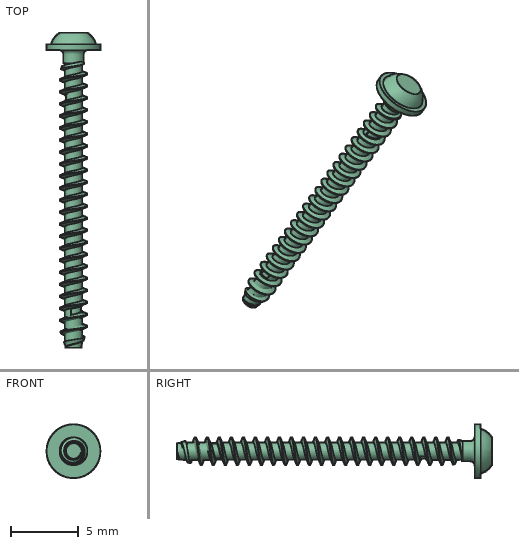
import cadquery as cq
import math


flange_diameter = 4.0
flange_thickness = 0.45
head_height = 1.3
dome_base_diameter = 3.35
dome_top_diameter = 2.05
dome_bulge = 0.1

shank_diameter = 1.52
shank_length = 0.95
neck_fillet_radius = 0.3

screw_length = 22.0
core_diameter = 1.3
tip_diameter = 1.2
tip_taper_length = 0.5

thread_diameter = 2.06
thread_pitch = 0.889
thread_root_width = 0.36
thread_crest_width = 0.06
thread_phase_depth = 1.75
thread_embed = 0.1
crest_radius = thread_diameter / 2

run_in_start = 0.8
run_in_end = 2.0
run_in_radius = shank_diameter / 2 - 0.02
run_out_start = 20.35
run_out_end = 21.95
run_out_radius = tip_diameter / 2 - 0.02
envelope_clearance = 0.1

relief_depth = 0.09
relief_width = 0.44
relief_turns = 0.5
head_relief_crest_turn = 1.4
tip_relief_crest_turn = 18.8


def make_head_and_body():
    """Revolve the head, the neck fillet, the shank and the core in one profile."""
    flange_radius = flange_diameter / 2
    base_radius = dome_base_diameter / 2
    top_radius = dome_top_diameter / 2
    shank_radius = shank_diameter / 2
    core_radius = core_diameter / 2

    rise = head_height - flange_thickness
    run = base_radius - top_radius
    chord = math.hypot(rise, run)
    arc_middle = (
        (base_radius + top_radius) / 2 + dome_bulge * rise / chord,
        (flange_thickness + head_height) / 2 + dome_bulge * run / chord,
    )

    fillet_outer = shank_radius + neck_fillet_radius
    fillet_inset = neck_fillet_radius * (1 - math.sqrt(0.5))

    profile = (
        cq.Workplane("XY")
        .moveTo(0, head_height)
        .lineTo(top_radius, head_height)
        .threePointArc(arc_middle, (base_radius, flange_thickness))
        .lineTo(flange_radius, flange_thickness)
        .lineTo(flange_radius, 0)
        .lineTo(fillet_outer, 0)
        .threePointArc(
            (shank_radius + fillet_inset, -fillet_inset),
            (shank_radius, -neck_fillet_radius),
        )
        .lineTo(shank_radius, -shank_length)
        .lineTo(core_radius, -shank_length)
        .lineTo(core_radius, tip_taper_length - screw_length)
        .lineTo(tip_diameter / 2, -screw_length)
        .lineTo(0, -screw_length)
        .close()
    )
    return profile.revolve(360, (0, 0, 0), (0, 1, 0))


def make_ridge(first_turn, last_turn):
    """Sweep the ridge, right-handed along -Y, between two whole turns past the phase depth."""
    flank_slope = (thread_root_width - thread_crest_width) / (thread_diameter - core_diameter)
    root_radius = core_diameter / 2 - thread_embed
    half_crest = thread_crest_width / 2
    half_root = thread_root_width / 2 + thread_embed * flank_slope
    start_depth = thread_phase_depth + first_turn * thread_pitch

    helix = cq.Wire.makeHelix(thread_pitch, (last_turn - first_turn) * thread_pitch, root_radius)
    return (
        cq.Workplane("XZ")
        .moveTo(root_radius, -half_root)
        .lineTo(crest_radius, -half_crest)
        .lineTo(crest_radius, half_crest)
        .lineTo(root_radius, half_root)
        .close()
        .sweep(helix, isFrenet=True)
        .rotate((0, 0, 0), (1, 0, 0), 90)
        .translate((0, -start_depth, 0))
    )


def make_envelope():
    """Revolve the body that limits the ridge height: a cone at each end of the thread."""
    envelope_radius = crest_radius + envelope_clearance
    return (
        cq.Workplane("XY")
        .moveTo(0, -run_in_start)
        .lineTo(run_in_radius, -run_in_start)
        .lineTo(envelope_radius, -run_in_end)
        .lineTo(envelope_radius, -run_out_start)
        .lineTo(run_out_radius, -run_out_end)
        .lineTo(0, -run_out_end)
        .close()
        .revolve(360, (0, 0, 0), (0, 1, 0))
    )


def make_relief_groove(crest_turn):
    """Sweep the cutter of a relief groove that begins half a pitch past the given crest turn."""
    floor_radius = core_diameter / 2 - relief_depth
    outer_radius = core_diameter / 2 + relief_depth
    half_width = relief_width / 2
    start_depth = thread_phase_depth + (crest_turn + 0.5) * thread_pitch
    start_angle = 360 * crest_turn

    helix = cq.Wire.makeHelix(thread_pitch, relief_turns * thread_pitch, floor_radius)
    return (
        cq.Workplane("XZ")
        .moveTo(floor_radius, -half_width)
        .lineTo(outer_radius, -half_width)
        .lineTo(outer_radius, half_width)
        .lineTo(floor_radius, half_width)
        .close()
        .sweep(helix, isFrenet=True)
        .rotate((0, 0, 0), (0, 0, 1), start_angle)
        .rotate((0, 0, 0), (1, 0, 0), 90)
        .translate((0, -start_depth, 0))
    )


def cut_relief_grooves(body):
    """Cut the groove near the head and the groove near the tip."""
    for crest_turn in (head_relief_crest_turn, tip_relief_crest_turn):
        body = body.cut(make_relief_groove(crest_turn))
    return body


def add_thread(body):
    """Fuse the ridge to the body: a trimmed run-in, the full thread and a trimmed run-out."""
    first_turn = math.floor((run_in_start - thread_phase_depth) / thread_pitch)
    full_start = math.ceil((run_in_end - thread_phase_depth) / thread_pitch)
    full_end = math.floor((run_out_start - thread_phase_depth) / thread_pitch)
    last_turn = math.ceil((run_out_end - thread_phase_depth) / thread_pitch)

    envelope = make_envelope()
    run_in = make_ridge(first_turn, full_start).intersect(envelope)
    full_thread = make_ridge(full_start, full_end)
    run_out = make_ridge(full_end, last_turn).intersect(envelope)
    return body.union(run_in).union(full_thread).union(run_out)


result = add_thread(cut_relief_grooves(make_head_and_body()))